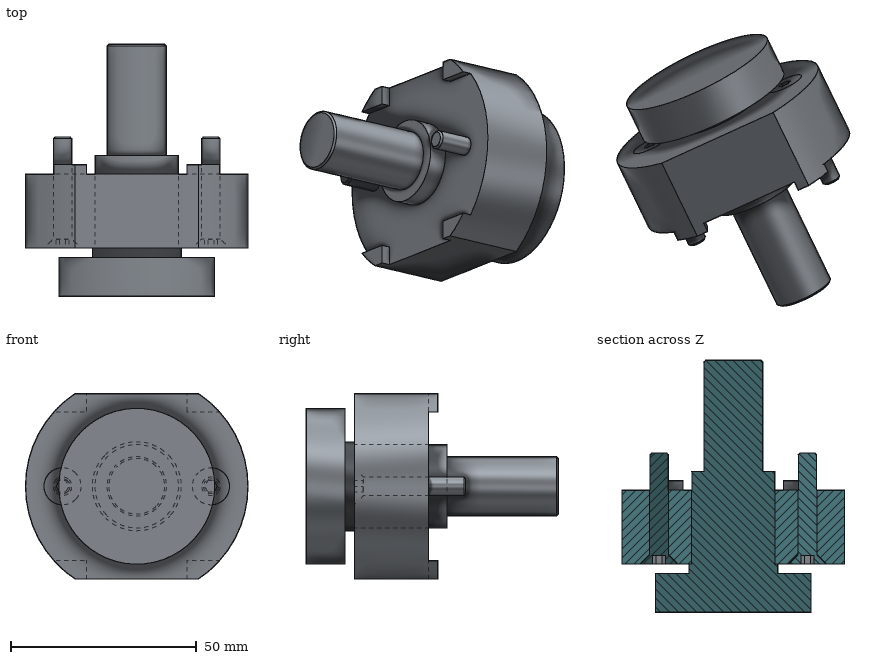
import cadquery as cq
import math


housing_diameter = 60.0
housing_height = 50.0
housing_length = 20.0

pad_length = 2.5
pad_gap_x = 27.0
pad_gap_z = 40.0

disc_diameter = 42.0
disc_length = 10.5
neck_diameter = 24.0
neck_length = 2.5
collar_diameter = 22.5
collar_projection = 5.0
shaft_diameter = 16.0
shaft_length = 30.0
shaft_chamfer = 0.5

screw_spacing = 40.0
screw_diameter = 5.0
screw_length = 30.0
screw_chamfer = 0.5
head_diameter = 10.0
head_length = (head_diameter - screw_diameter) / 2
socket_across_flats = 3.0
socket_across_corners = socket_across_flats / math.cos(math.radians(30))
socket_depth = 2.3

screw_positions = [-screw_spacing / 2, screw_spacing / 2]


def plane_at(y, x=0.0):
    """XZ plane at depth y whose normal, and so each extrusion, points to the back (+Y)."""
    return cq.Workplane(cq.Plane(origin=(x, y, 0), xDir=(1, 0, 0), normal=(0, 1, 0)))


def cylinder(diameter, y_start, length, x=0.0):
    return plane_at(y_start, x).circle(diameter / 2).extrude(length)


def screw_envelope(x):
    """Countersunk head and plain shank, without the socket and the tip chamfer."""
    head_radius = head_diameter / 2
    shank_radius = screw_diameter / 2
    return (
        cq.Workplane("XY")
        .polyline([
            (0, 0),
            (head_radius, 0),
            (shank_radius, head_length),
            (shank_radius, screw_length),
            (0, screw_length),
        ])
        .close()
        .revolve(360, (0, 0, 0), (0, 1, 0))
        .translate((x, 0, 0))
    )


def make_screw(x):
    socket = plane_at(0, x).polygon(6, socket_across_corners).extrude(socket_depth)
    return screw_envelope(x).faces(">Y").chamfer(screw_chamfer).cut(socket)


def make_housing():
    full_length = housing_length + pad_length
    block = cylinder(housing_diameter, 0, full_length)
    flats = plane_at(0).rect(housing_diameter, housing_height).extrude(full_length)
    body = block.intersect(flats)

    upright_channel = plane_at(housing_length).rect(pad_gap_x, housing_height).extrude(pad_length)
    level_channel = plane_at(housing_length).rect(housing_diameter, pad_gap_z).extrude(pad_length)
    body = body.cut(upright_channel).cut(level_channel)

    body = body.cut(cylinder(collar_diameter, 0, housing_length))
    for x in screw_positions:
        body = body.cut(screw_envelope(x))
    return body


def make_spindle():
    collar_length = housing_length + collar_projection
    shaft = cylinder(shaft_diameter, collar_length, shaft_length).faces(">Y").chamfer(shaft_chamfer)
    collar = cylinder(collar_diameter, 0, collar_length)
    neck = cylinder(neck_diameter, -neck_length, neck_length)
    disc = cylinder(disc_diameter, -neck_length - disc_length, disc_length)
    return disc.union(neck).union(collar).union(shaft)


housing = make_housing()
spindle = make_spindle()
screws = [make_screw(x) for x in screw_positions]

result = cq.Compound.makeCompound([
    housing.val(),
    spindle.val(),
    *[screw.val() for screw in screws],
])